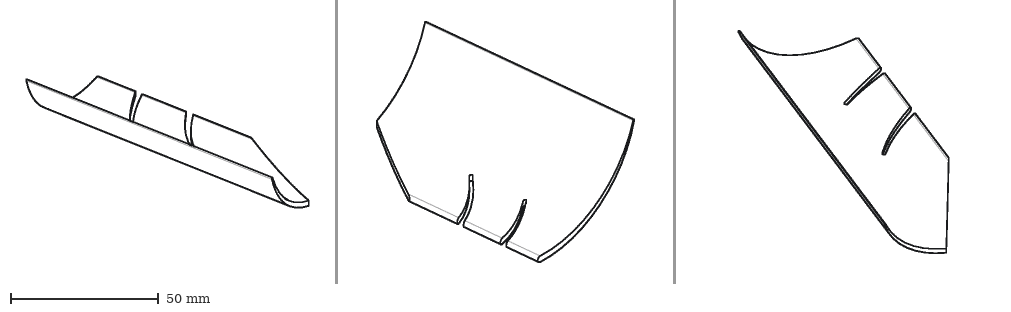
import cadquery as cq
import math

length = 97.0
width = 47.5
height = 36.5
edge_thickness = 2.4
tip_radius = 0.3
tip_lean = math.radians(13.5)
edge_radius = edge_thickness / 2
edge_y = width - edge_radius

corner_start_x = 59.6
corner_depth = 23.2

slots = [
    {
        "left": [(14.7, 0.0), (19.0, 10.7), (24.4, 20.2)],
        "right": [(17.5, 0.0), (20.8, 10.7), (25.4, 19.7)],
    },
    {
        "left": [(34.6, 0.0), (40.7, 10.7), (49.5, 20.2)],
        "right": [(37.5, 0.0), (42.9, 10.7), (50.3, 19.5)],
    },
]


def point_on_tangent_arc(start, end):
    """Middle of the arc from start to end that leaves start parallel to -Y."""
    run = start[0] - end[0]
    rise = end[1] - start[1]
    radius = (run**2 + rise**2) / (2 * rise)
    half_angle = math.atan2(rise, run)
    return (
        start[0] - radius * math.sin(half_angle),
        start[1] + radius * (1 - math.cos(half_angle)),
    )


def make_blade():
    """Tapering curved section with both edges rounded, extruded along X."""
    outer_start = (edge_y, 0.0)
    inner_start = (edge_y, edge_thickness)

    tip_y = tip_radius
    tip_z = height - tip_radius
    across = tip_radius * math.cos(tip_lean)
    along = tip_radius * math.sin(tip_lean)
    outer_end = (tip_y - across, tip_z - along)
    inner_end = (tip_y + across, tip_z + along)
    tip_middle = (tip_y - along, tip_z + across)
    return (
        cq.Workplane("YZ")
        .moveTo(*outer_start)
        .threePointArc(point_on_tangent_arc(outer_start, outer_end), outer_end)
        .threePointArc(tip_middle, inner_end)
        .threePointArc(point_on_tangent_arc(inner_start, inner_end), inner_start)
        .threePointArc((width, edge_radius), outer_start)
        .close()
        .extrude(length)
    )


def make_corner_cut():
    """Triangular prism that slants off the corner of the thick edge."""
    return (
        cq.Workplane("XY")
        .moveTo(corner_start_x, width)
        .lineTo(length, width)
        .lineTo(length, width - corner_depth)
        .close()
        .extrude(height)
    )


def make_slot(sides):
    """Curved, narrowing slot with a round inner end, open at the thick edge."""
    left = [(x, width - depth) for x, depth in sides["left"]]
    right = [(x, width - depth) for x, depth in sides["right"]]
    mouth_left, middle_left, end_left = left
    mouth_right, middle_right, end_right = right

    across_x = end_right[0] - end_left[0]
    across_y = end_right[1] - end_left[1]
    round_end = (
        (end_left[0] + end_right[0] + across_y) / 2,
        (end_left[1] + end_right[1] - across_x) / 2,
    )
    return (
        cq.Workplane("XY")
        .moveTo(*mouth_left)
        .threePointArc(middle_left, end_left)
        .threePointArc(round_end, end_right)
        .threePointArc(middle_right, mouth_right)
        .close()
        .extrude(height)
    )


result = make_blade().cut(make_corner_cut())
for slot_sides in slots:
    result = result.cut(make_slot(slot_sides))